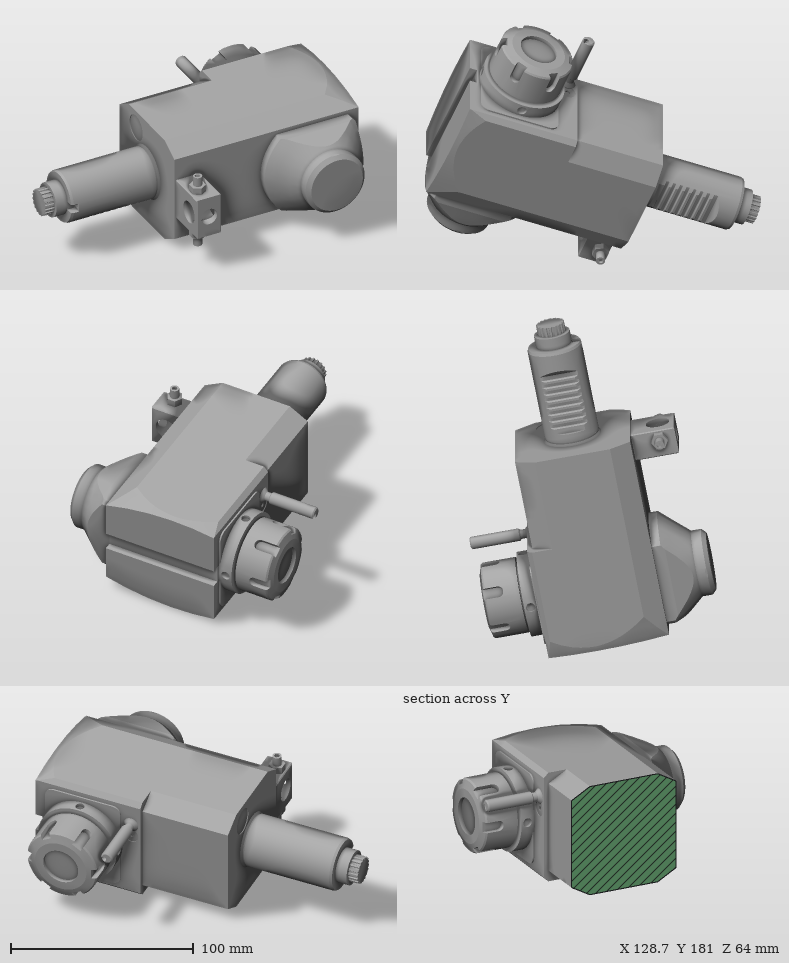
import cadquery as cq
import math


half_width = 32.0
flange_x = -35.0
flange_start_y = 51.2
flange_chamfer = 2.7
edge_chamfer_x = 11.2
edge_chamfer_z = 6.3
back_y = 114.2
turned_radius = 152.5
turned_growth = 0.24
turned_axis_x = -9.0
turned_axis_drop = 121.3
back_slot_depth = 4.2
back_slot_width = 10.5
plug_x = -12.5
plug_z = 21.5
plug_radius = 7.6
outline_recess = 0.5

spindle_y = 85.5
plate_thickness = 0.9
plate_width = 45.2
plate_height = 53.0
plate_corner = 5.0
collar_end_x = -43.0
collar_radius = 23.5
collar_holes = 4
collar_hole_radius = 2.5
collar_hole_depth = 2.2
collar_hole_point = 1.5
collar_hole_x = -39.5
neck_radius = 17.7
nut_start_x = -44.2
nut_end_x = -65.0
nut_radius = 21.0
nut_shoulder_radius = 20.3
nut_face_radius = 15.4
nut_bevel = 0.9
nut_bevel_cone = 1.5
nut_bore_radius = 10.5
nut_bore_depth = 2.4
wrench_slots = 6
long_slots = (1, 2)
long_slot_extra = 2.2
wrench_slot_width = 6.0
wrench_slot_floor = 18.0
wrench_slot_end_x = -52.9

pin_y = 56.8
pin_z = 16.8
pin_end_x = -67.7
pin_start_x = -40.4
pin_radius = 3.5
pin_chamfer = 0.7
pin_outlet_radius = 1.5
pin_outlet_offset = 2.4
pin_outlet_depth = 2.7
pin_shoulder_x = -39.6
pin_neck_radius = 2.5
pin_neck_end_x = -37.0
pin_seat_radius = 4.3
set_screw_z = 9.5
set_screw_socket = 3.0
set_screw_depth = 1.5

cap_radius = 32.0
cap_cone_start_x = 37.0
cap_cone_end_x = 53.0
knob_radius = 18.3
knob_end_x = 61.0
knob_chamfer = 2.4
cap_flat_z = 23.2
cap_slope_start_x = 39.0
cap_slope_drop = 0.26
cap_flat_y = 109.7

bracket_end_x = 56.3
bracket_near_y = 1.0
bracket_far_y = 16.3
bracket_half_height = 12.3
bracket_chamfer = 0.5
bracket_bore_x = 47.0
bracket_bore_radius = 6.5
bracket_cross_radius = 4.9
jet_x = 47.2
jet_y = 6.3
jet_radius = 2.5
jet_tip_z = 6.0
jet_top_z = 22.0
jet_hex_height = 4.2
jet_hex_corners = 9.2
jet_socket_corners = 3.3
jet_socket_depth = 1.8

shank_radius = 15.0
shank_end_y = -54.5
shank_chamfer_length = 1.5
shank_chamfer_radius = 14.5
shank_rim_radius = 16.0
shank_rim_length = 1.0
shank_relief_radius = 14.7
shank_relief_end_y = -2.0
pilot_radius = 10.0
pilot_end_y = -61.2
spline_teeth = 18
spline_tip_radius = 7.8
spline_root_radius = 7.0
spline_tip_share = 0.2
spline_root_share = 0.3
overall_length = 181
spline_end_y = back_y - overall_length
key_width = 5.2
key_length = 4.5
key_recess_width = 2.7
key_recess_outer = 13.0
key_recess_depth = 1.8
rack_start_y = -6.7
rack_crest_z = -12.5
rack_root_z = -10.9
rack_pitch = 4.0
rack_grooves = 8
rack_first_groove_y = -11.2
rack_groove_bottom = 1.6
rack_groove_top = 2.7
rack_end_y = -40.5
rack_ramp_length = 3.0
rack_ramp_height = 4.2

overlap = 0.9


def box(x0, x1, y0, y1, z0, z1):
    return cq.Workplane("XY").box(x1 - x0, y1 - y0, z1 - z0, centered=False).translate((x0, y0, z0))


def cylinder(start, direction, radius, length):
    return cq.Workplane(cq.Solid.makeCylinder(radius, length, cq.Vector(*start), cq.Vector(*direction)))


def turned_about_x(profile, y, z):
    """Revolve (x, radius) points about an axis parallel to X."""
    points = [(profile[0][0], 0)] + profile + [(profile[-1][0], 0)]
    solid = cq.Workplane("XY").polyline(points).close().revolve(360, (0, 0, 0), (1, 0, 0))
    return solid.translate((0, y, z))


def turned_about_y(profile):
    """Revolve (radius, y) points about the Y axis."""
    points = [(0, profile[0][1])] + profile + [(0, profile[-1][1])]
    return cq.Workplane("XY").polyline(points).close().revolve(360, (0, 0, 0), (0, 1, 0))


def prism_along_y(points, y0, y1):
    """Extrude an (x, z) outline from y0 to y1."""
    return cq.Workplane("XZ").polyline(points).close().extrude(y0 - y1).translate((0, y0, 0))


def chamfered_section(left_x, left_cut_x, left_cut_z):
    """Housing cross-section: an octagon in (x, z) with its own chamfers on the left."""
    upper = [
        (left_x, half_width - left_cut_z),
        (left_x + left_cut_x, half_width),
        (half_width - edge_chamfer_x, half_width),
        (half_width, half_width - edge_chamfer_z),
    ]
    return upper + [(x, -z) for x, z in reversed(upper)]


def housing():
    shank_section = chamfered_section(-half_width, edge_chamfer_x, edge_chamfer_z)
    spindle_section = chamfered_section(flange_x, flange_chamfer, flange_chamfer)
    shank_part = prism_along_y(shank_section, 0, flange_start_y)
    spindle_part = prism_along_y(spindle_section, flange_start_y, back_y)
    body = shank_part.union(spindle_part)
    for side in (1, -1):
        cone = cq.Solid.makeCone(
            turned_radius + turned_growth * back_y, turned_radius, back_y,
            cq.Vector(turned_axis_x, 0, -side * turned_axis_drop), cq.Vector(0, 1, 0),
        )
        body = body.intersect(cq.Workplane(cone))
    half_slot = back_slot_width / 2
    slot = box(flange_x, half_width, back_y - back_slot_depth, back_y, -half_slot, half_slot)
    plug = cylinder((plug_x, 0, plug_z), (0, 1, 0), plug_radius, outline_recess)
    return body.cut(slot).cut(plug)


def wrench_slot(end_x):
    """One round-ended slot in the clamping nut, on the +Y side of the spindle axis."""
    half = wrench_slot_width / 2
    depth = nut_radius - wrench_slot_floor + overlap
    round_x = end_x - half
    slot = box(nut_end_x - overlap, round_x, wrench_slot_floor, wrench_slot_floor + depth, -half, half)
    return slot.union(cylinder((round_x, wrench_slot_floor, 0), (0, 1, 0), half, depth))


def collar_hole():
    """One drilled hole in the collar, on the +Y side of the spindle axis."""
    floor = collar_radius - collar_hole_depth
    drill = cylinder((collar_hole_x, floor, 0), (0, 1, 0), collar_hole_radius, collar_hole_depth)
    point = cq.Solid.makeCone(
        0, collar_hole_radius, collar_hole_point,
        cq.Vector(collar_hole_x, floor - collar_hole_point, 0), cq.Vector(0, 1, 0),
    )
    return drill.union(cq.Workplane(point))


def spindle():
    plate = box(
        flange_x - plate_thickness, flange_x + overlap,
        spindle_y - plate_width / 2, spindle_y + plate_width / 2,
        -plate_height / 2, plate_height / 2,
    ).edges("|X").fillet(plate_corner)
    shoulder_x = nut_end_x + nut_bevel_cone
    turned = turned_about_x([
        (flange_x + overlap, collar_radius),
        (collar_end_x, collar_radius),
        (collar_end_x, neck_radius),
        (nut_start_x, neck_radius),
        (nut_start_x, nut_radius),
        (shoulder_x + nut_bevel, nut_radius),
        (shoulder_x, nut_shoulder_radius),
        (nut_end_x, nut_face_radius),
    ], spindle_y, 0)
    turned = turned.cut(cylinder((nut_end_x, spindle_y, 0), (1, 0, 0), nut_bore_radius, nut_bore_depth))
    for i in range(wrench_slots):
        end_x = wrench_slot_end_x
        if i in long_slots:
            end_x += long_slot_extra
        slot = wrench_slot(end_x).rotate((0, 0, 0), (1, 0, 0), i * 360 / wrench_slots)
        turned = turned.cut(slot.translate((0, spindle_y, 0)))
    for i in range(collar_holes):
        hole = collar_hole().rotate((0, 0, 0), (1, 0, 0), i * 360 / collar_holes)
        turned = turned.cut(hole.translate((0, spindle_y, 0)))
    return plate.union(turned)


def coolant_pin():
    pin = turned_about_x([
        (flange_x + overlap, pin_seat_radius),
        (flange_x, pin_seat_radius),
        (pin_neck_end_x, pin_neck_radius),
        (pin_shoulder_x, pin_neck_radius),
        (pin_start_x, pin_radius),
        (pin_end_x + pin_chamfer, pin_radius),
        (pin_end_x, pin_radius - pin_chamfer),
    ], pin_y, pin_z)
    reach = math.hypot(spindle_y - pin_y, pin_z)
    toward_y = (spindle_y - pin_y) / reach
    toward_z = -pin_z / reach
    mouth = (pin_end_x, pin_y + pin_outlet_offset * toward_y, pin_z + pin_outlet_offset * toward_z)
    inward = cq.Vector(1, -toward_y, -toward_z).normalized()
    start = cq.Vector(*mouth) - inward * pin_outlet_depth
    outlet = cylinder(start.toTuple(), inward.toTuple(), pin_outlet_radius, 2 * pin_outlet_depth)
    return pin.cut(outlet)


def set_screw_cut():
    seat = cylinder((flange_x, pin_y, set_screw_z), (1, 0, 0), pin_seat_radius, outline_recess)
    socket = cq.Workplane("YZ").polygon(6, set_screw_socket).extrude(set_screw_depth)
    socket = socket.rotate((0, 0, 0), (1, 0, 0), 90)
    return seat.union(socket.translate((flange_x, pin_y, set_screw_z)))


def rear_cap():
    cap = turned_about_x([
        (half_width - overlap, cap_radius),
        (cap_cone_start_x, cap_radius),
        (cap_cone_end_x, knob_radius),
        (knob_end_x - knob_chamfer, knob_radius),
        (knob_end_x, knob_radius - knob_chamfer),
    ], spindle_y, 0)
    start_x = half_width - overlap
    end_z = cap_flat_z - cap_slope_drop * (knob_end_x - cap_slope_start_x)
    upper = [(start_x, cap_flat_z), (cap_slope_start_x, cap_flat_z), (knob_end_x, end_z)]
    envelope = upper + [(x, -z) for x, z in reversed(upper)]
    return cap.intersect(prism_along_y(envelope, spindle_y - cap_radius, cap_flat_y))


def coolant_jet():
    """Upper jet screw with its hexagon nut, standing on the bracket."""
    base_z = bracket_half_height - overlap
    jet = cylinder((0, 0, jet_tip_z), (0, 0, 1), jet_radius, jet_top_z - jet_tip_z)
    nut = cq.Workplane("XY").workplane(offset=base_z).polygon(6, jet_hex_corners)
    jet = jet.union(nut.extrude(jet_hex_height + overlap))
    socket = cq.Workplane("XY").workplane(offset=jet_top_z - jet_socket_depth).polygon(6, jet_socket_corners)
    return jet.cut(socket.extrude(jet_socket_depth)).translate((jet_x, jet_y, 0))


def bracket():
    block = box(
        half_width - overlap, bracket_end_x, bracket_near_y, bracket_far_y,
        -bracket_half_height, bracket_half_height,
    )
    block = block.edges("|X or (|Z and >X)").chamfer(bracket_chamfer)
    length_y = bracket_far_y - bracket_near_y
    bore = cylinder((bracket_bore_x, bracket_near_y, 0), (0, 1, 0), bracket_bore_radius, length_y)
    cross_start = (bracket_bore_x, bracket_near_y + length_y / 2, 0)
    cross = cylinder(cross_start, (1, 0, 0), bracket_cross_radius, bracket_end_x - bracket_bore_x)
    jet = coolant_jet()
    return block.cut(bore).cut(cross).union(jet).union(jet.mirror("XY"))


def spline():
    """Straight-flanked teeth at the shank tip, one of them pointing along +Z."""
    points = []
    step = 2 * math.pi / spline_teeth
    corners = [
        (-spline_root_share, spline_root_radius),
        (-spline_tip_share, spline_tip_radius),
        (spline_tip_share, spline_tip_radius),
        (spline_root_share, spline_root_radius),
    ]
    for i in range(spline_teeth):
        for share, radius in corners:
            angle = math.pi / 2 + (i + share) * step
            points.append((radius * math.cos(angle), radius * math.sin(angle)))
    return prism_along_y(points, spline_end_y, pilot_end_y + overlap)


def rack_cut():
    """Flat with cross grooves on the underside of the shank, running out in a ramp."""
    outline = [(rack_start_y, rack_root_z - rack_ramp_height), (rack_start_y, rack_crest_z)]
    for i in range(rack_grooves):
        middle = rack_first_groove_y - i * rack_pitch
        outline.append((middle + rack_groove_top / 2, rack_crest_z))
        outline.append((middle + rack_groove_bottom / 2, rack_root_z))
        if i < rack_grooves - 1:
            outline.append((middle - rack_groove_bottom / 2, rack_root_z))
            outline.append((middle - rack_groove_top / 2, rack_crest_z))
    outline.append((rack_end_y, rack_root_z))
    outline.append((rack_end_y - rack_ramp_length, rack_root_z - rack_ramp_height))
    return cq.Workplane("YZ").polyline(outline).close().extrude(shank_radius, both=True)


def shank():
    body = turned_about_y([
        (shank_rim_radius, overlap),
        (shank_rim_radius, 0),
        (shank_relief_radius, -shank_rim_length),
        (shank_relief_radius, shank_relief_end_y),
        (shank_radius, shank_relief_end_y),
        (shank_radius, shank_end_y + shank_chamfer_length),
        (shank_chamfer_radius, shank_end_y),
        (pilot_radius, shank_end_y),
        (pilot_radius, pilot_end_y),
    ])
    key_slot = box(
        pilot_radius, shank_radius, shank_end_y, shank_end_y + key_length, -key_width / 2, key_width / 2
    )
    recess_start_y = shank_end_y + key_length
    half_recess = key_recess_width / 2
    recess = box(
        pilot_radius, key_recess_outer,
        recess_start_y, recess_start_y + key_recess_depth,
        -half_recess, half_recess,
    )
    return body.cut(key_slot.union(recess)).cut(rack_cut()).union(spline())


result = (
    housing()
    .cut(set_screw_cut())
    .union(spindle())
    .union(coolant_pin())
    .union(rear_cap())
    .union(bracket())
    .union(shank())
)